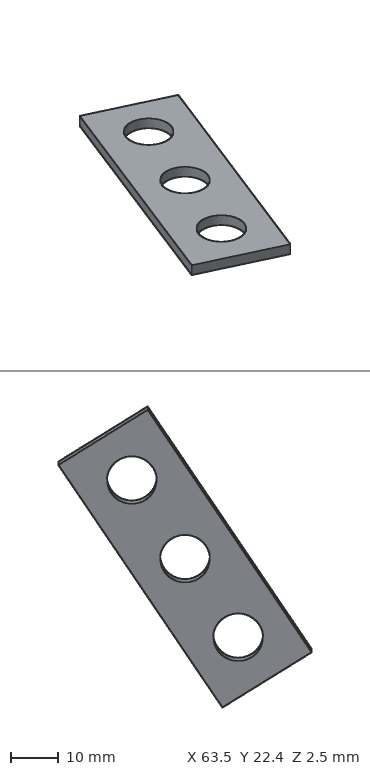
import cadquery as cq

length = 63.5
width = 22.35
thickness = 2.5

hole_diameter = 10.4
hole_count = 3
hole_spacing = 20.6

strip = cq.Workplane("XY").box(length, width, thickness)

result = (
    strip.faces(">Z")
    .workplane()
    .rarray(hole_spacing, width, hole_count, 1)
    .hole(hole_diameter)
)